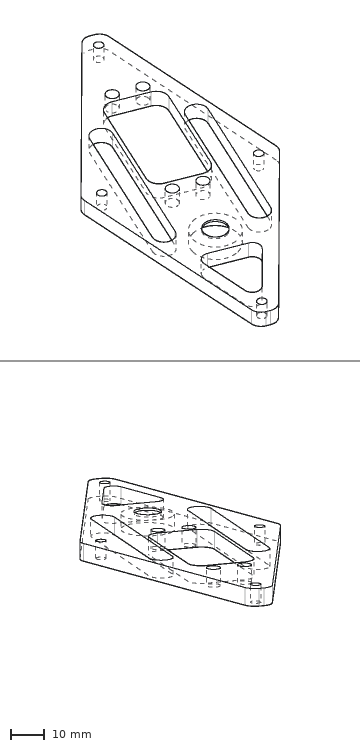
import cadquery as cq
import math

length = 140.0
width = 62.9
thickness = 5.5
end_width = 6.7
corner_radius = 3.9

fixing_diameter = 3.1
end_fixing_x = 65.0
side_fixing_y = 25.0

slot_length = 57.1
slot_width = 7.3
slot_y = 15.3

window_x = -18.0
window_length = 41.3
window_width = 20.6
window_radius = 4.0
mount_diameter = 4.2
mount_spacing_x = 47.9
mount_spacing_y = 9.8

round_hole_x = 28.0
round_hole_diameter = 8.1
counterbore_diameter = 16.0
lip_thickness = 0.7

triangle_left = 38.1
triangle_right = 60.2
triangle_radius = 3.0

side_centre_y = width / 2 - corner_radius
end_corner_y = end_width / 2
rise_to_centre = side_centre_y - end_corner_y
centre_distance = math.hypot(length / 2, rise_to_centre)
edge_angle = math.atan2(rise_to_centre, length / 2) + math.asin(corner_radius / centre_distance)


def make_plate():
    """Diamond plate with narrow blunt ends and all six corners rounded."""
    side_corner_y = side_centre_y + corner_radius / math.cos(edge_angle)
    corners = [
        (length / 2, end_corner_y),
        (0, side_corner_y),
        (-length / 2, end_corner_y),
        (-length / 2, -end_corner_y),
        (0, -side_corner_y),
        (length / 2, -end_corner_y),
    ]
    return cq.Workplane("XY").polyline(corners).close().extrude(thickness).edges("|Z").fillet(corner_radius)


def make_holes(points, diameter):
    """Through-hole cutters at the given points."""
    return cq.Workplane("XY").pushPoints(points).circle(diameter / 2).extrude(thickness)


def make_counterbore():
    """Cutter that widens the round hole from the underside up to the lip."""
    return (
        cq.Workplane("XY")
        .center(round_hole_x, 0)
        .circle(counterbore_diameter / 2)
        .extrude(thickness - lip_thickness)
    )


def make_slots():
    """Cutters for the two round-ended slots."""
    return (
        cq.Workplane("XY")
        .pushPoints([(0, slot_y), (0, -slot_y)])
        .slot2D(slot_length, slot_width)
        .extrude(thickness)
    )


def make_window():
    """Cutter for the rectangular window with rounded corners."""
    return (
        cq.Workplane("XY")
        .center(window_x, 0)
        .rect(window_length, window_width)
        .extrude(thickness)
        .edges("|Z")
        .fillet(window_radius)
    )


def make_triangle():
    """Cutter for the triangular opening with rounded corners."""
    round_centre_x = triangle_right - triangle_radius
    apex_x = round_centre_x + triangle_radius / math.sin(edge_angle)
    half_height = (apex_x - triangle_left) * math.tan(edge_angle)
    return (
        cq.Workplane("XY")
        .polyline([(triangle_left, -half_height), (apex_x, 0), (triangle_left, half_height)])
        .close()
        .extrude(thickness)
        .edges("|Z")
        .fillet(triangle_radius)
    )


fixing_points = [
    (end_fixing_x, 0),
    (-end_fixing_x, 0),
    (0, side_fixing_y),
    (0, -side_fixing_y),
]
mount_points = [
    (window_x + x_side * mount_spacing_x / 2, y_side * mount_spacing_y / 2)
    for x_side in (-1, 1)
    for y_side in (-1, 1)
]

result = (
    make_plate()
    .cut(make_holes(fixing_points, fixing_diameter))
    .cut(make_holes(mount_points, mount_diameter))
    .cut(make_holes([(round_hole_x, 0)], round_hole_diameter))
    .cut(make_counterbore())
    .cut(make_slots())
    .cut(make_window())
    .cut(make_triangle())
)